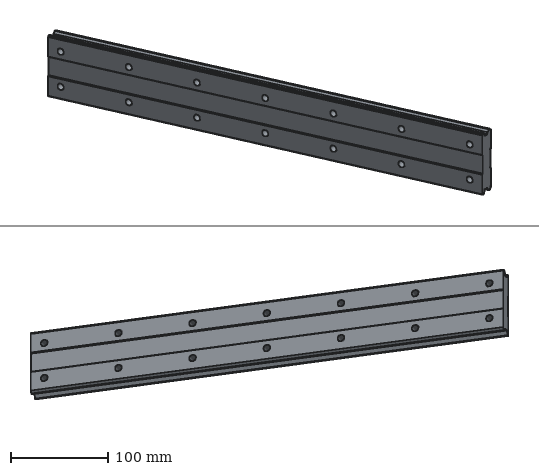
import cadquery as cq

length = 510.0
thickness = 19.0
height = 69.0

relief_height = 22.5
relief_depth = 1.0
shoulder_run = 1.0

channel_depth = 4.0

front_chamfer = 1.3
front_crest_width = 2.3
front_wall_run = 2.3

rear_bevel = 2.3
rear_crest_width = 2.3
flank_run = 2.5
flank_drop = 2.2
steep_flank_run = 1.0

hole_diameter = 7.0
hole_pitch = 80.0
holes_per_row = 7
row_spacing = 40.0


def upper_outline():
    """Upper half of the cross-section as (Y, Z) points, from the front face to the rear face."""
    front = -thickness / 2
    rear = thickness / 2
    top = height / 2
    relief_top = relief_height / 2
    shoulder_bottom = relief_top - shoulder_run
    channel_floor = top - channel_depth

    front_crest_outer = front + front_chamfer
    front_crest_inner = front_crest_outer + front_crest_width
    rear_crest_outer = rear - rear_bevel
    rear_crest_inner = rear_crest_outer - rear_crest_width
    flank_break = rear_crest_inner - flank_run

    return [
        (front + relief_depth, shoulder_bottom),
        (front, relief_top),
        (front, top - front_chamfer),
        (front_crest_outer, top),
        (front_crest_inner, top),
        (front_crest_inner + front_wall_run, channel_floor),
        (flank_break - steep_flank_run, channel_floor),
        (flank_break, top - flank_drop),
        (rear_crest_inner, top),
        (rear_crest_outer, top),
        (rear, top - rear_bevel),
        (rear, relief_top),
        (rear - relief_depth, shoulder_bottom),
    ]


def make_rail():
    """Extrude the cross-section, symmetric about the XY plane, along X."""
    upper = upper_outline()
    lower = [(y, -z) for y, z in reversed(upper)]
    profile = cq.Workplane("YZ").polyline(upper + lower).close()
    return profile.extrude(length / 2, both=True)


def make_holes():
    """Cylinders crossing the full thickness at every hole position."""
    return (
        cq.Workplane("XZ")
        .rarray(hole_pitch, row_spacing, holes_per_row, 2)
        .circle(hole_diameter / 2)
        .extrude(thickness / 2, both=True)
    )


result = make_rail().cut(make_holes())